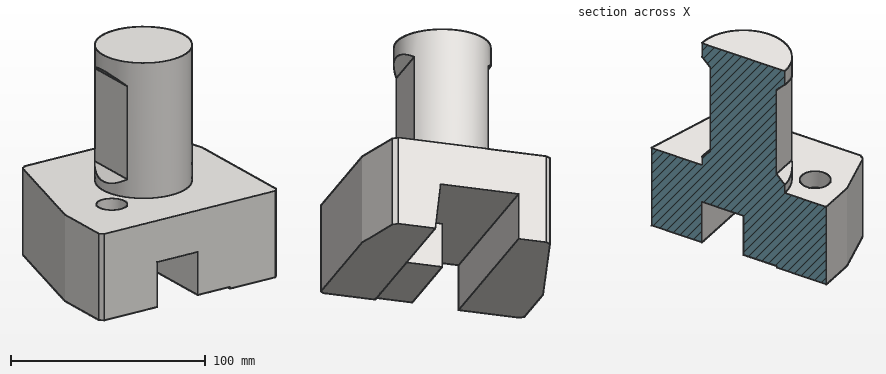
import cadquery as cq
import math

total_height = 123.0
base_height = 48.0
half_length = 50.0
back_y = 50.0
front_y = -59.96
corner_chamfer = 2.0
side_taper = math.tan(math.radians(15))
back_taper_x = -20.4
front_taper_x = 16.9
left_back_y = 40.0
left_front_y = -40.0

shank_diameter = 50.0
shank_radius = shank_diameter / 2
flat_distance = 20.0
flat_bottom = 57.9
flat_top = 109.5

hole_diameter = 16.0
hole_depth = 10.0
hole_x = 18.5
hole_y = 32.0

slot_height = 25.0
slot_front_y = -25.0
slot_back_y_top = 17.2
slot_back_y_bottom = 20.0
stop_front_y = 0.0
stop_start_x = 0.0
stop_clearance = 1.0


def make_base():
    taper_end_x = -half_length + corner_chamfer
    back_end_y = back_y - side_taper * (back_taper_x - taper_end_x)
    front_end_y = front_y + side_taper * (front_taper_x - taper_end_x)
    outline = [
        (-half_length, left_front_y),
        (taper_end_x, front_end_y),
        (front_taper_x, front_y),
        (half_length - corner_chamfer, front_y),
        (half_length, front_y + corner_chamfer),
        (half_length, back_y - corner_chamfer),
        (half_length - corner_chamfer, back_y),
        (back_taper_x, back_y),
        (taper_end_x, back_end_y),
        (-half_length, left_back_y),
    ]
    return cq.Workplane("XY").polyline(outline).close().extrude(base_height)


def make_slot():
    """Slot with an upright front wall and a back wall sloping outward towards the underside."""
    profile = [
        (slot_front_y, 0),
        (slot_back_y_bottom, 0),
        (slot_back_y_top, slot_height),
        (slot_front_y, slot_height),
    ]
    slot = cq.Workplane("YZ").polyline(profile).close().extrude(half_length, both=True)
    stop = cq.Workplane("XY").box(
        half_length - stop_start_x,
        slot_back_y_bottom - stop_front_y,
        slot_height - stop_clearance,
        centered=False,
    ).translate((stop_start_x, stop_front_y, stop_clearance))
    return slot.cut(stop)


def make_flat_cutter(side):
    """Cutter for one flat with 45 degree run-outs; side is +1 or -1 along Y."""
    run_out = shank_radius - flat_distance
    profile = [
        (side * flat_distance, flat_bottom),
        (side * shank_radius, flat_bottom - run_out),
        (side * shank_radius, flat_top + run_out),
        (side * flat_distance, flat_top),
    ]
    return cq.Workplane("YZ").polyline(profile).close().extrude(shank_radius, both=True)


def make_shank():
    shank = (
        cq.Workplane("XY")
        .workplane(offset=base_height)
        .circle(shank_radius)
        .extrude(total_height - base_height)
    )
    for side in (1, -1):
        shank = shank.cut(make_flat_cutter(side))
    return shank


def make_holes():
    return (
        cq.Workplane("XY")
        .workplane(offset=base_height)
        .pushPoints([(-hole_x, hole_y), (hole_x, -hole_y)])
        .circle(hole_diameter / 2)
        .extrude(-hole_depth)
    )


result = make_base().cut(make_slot()).cut(make_holes()).union(make_shank())